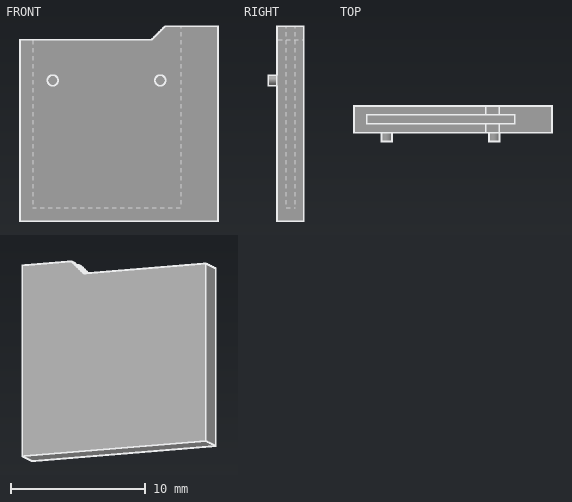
import cadquery as cq

width = 14.75
height = 14.5
thickness = 2.0

shoulder_rise = 1.0
ramp_start = 9.8
ramp_end = ramp_start + shoulder_rise
edge_height = height - shoulder_rise

slot_start = 0.95
slot_length = 11.0
slot_width = 0.68
slot_floor = 1.0

peg_diameter = 0.8
peg_length = 0.65
peg_height = 10.47
first_peg_x = 2.45
peg_spacing = 8.0


def make_plate():
    """Extrude the stepped outline from the front face (Y = 0) to the back."""
    outline = [
        (0, 0),
        (width, 0),
        (width, height),
        (ramp_end, height),
        (ramp_start, edge_height),
        (0, edge_height),
    ]
    return cq.Workplane("XZ").polyline(outline).close().extrude(-thickness)


def make_slot():
    """Pocket volume from the slot floor up to the top of the shoulder."""
    return cq.Workplane("XY").box(
        slot_length, slot_width, height - slot_floor, centered=(False, True, False)
    ).translate((slot_start, thickness / 2, slot_floor))


def make_pegs():
    """Two pegs rooted in the front face and pointing toward -Y."""
    centers = [(first_peg_x + i * peg_spacing, peg_height) for i in range(2)]
    return cq.Workplane("XZ").pushPoints(centers).circle(peg_diameter / 2).extrude(peg_length)


result = make_plate().cut(make_slot()).union(make_pegs())